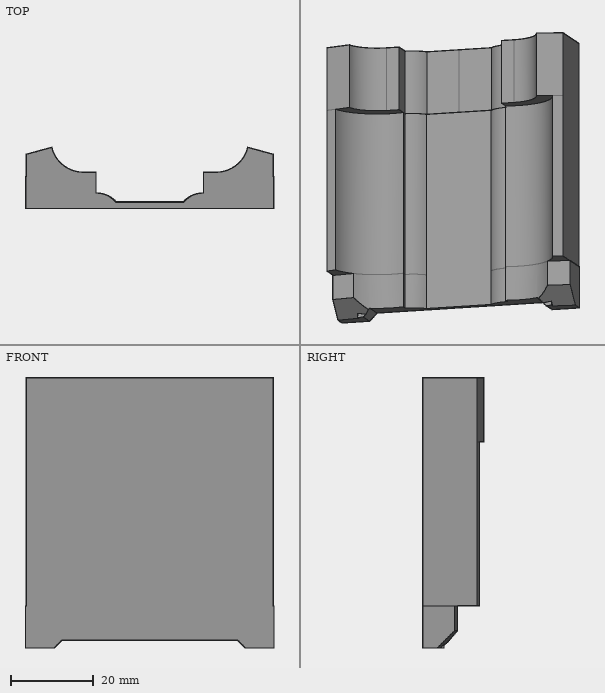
import cadquery as cq
import math

height = 65.3
foot_half_width = 30.005
body_half_width = 29.85
foot_height = 10.2

side_depth = 13.1
tip_x = 23.65
tip_depth = 14.8
step_depth = 8.8
step_x = 12.9
lobe_depth = 3.8
floor_x = 8.15
floor_depth = 1.5
lower_floor_rise = 0.25

bore_x = 16.05
tip_run = tip_x - bore_x
tip_rise = tip_depth - step_depth
bore_radius = (tip_run**2 + tip_rise**2) / (2 * tip_rise)
bore_y = step_depth + bore_radius
relief_radius = 11.7
relief_top = 49.8

foot_side_depth = 7.8
foot_inner_depth = 8.5
foot_inner_x = bore_x + math.sqrt(relief_radius**2 - (bore_y - foot_inner_depth)**2)
foot_chamfer = 4.25
lip_depth = 5.2
lip_height = 1.05
notch_half_width = 23.05
notch_height = 1.9


def lobe_middle(floor):
    """Point halfway along the rounded lobe, whose crest lies at the step wall."""
    run = step_x - floor_x
    rise = lobe_depth - floor
    radius = (run**2 + rise**2) / (2 * rise)
    half_angle = math.asin(run / radius) / 2
    return (step_x - radius * math.sin(half_angle), lobe_depth - radius * (1 - math.cos(half_angle)))


def half_body(floor, bottom, top):
    bore_half_angle = math.atan2(tip_rise, tip_run)
    bore_middle = (bore_x + bore_radius * math.sin(bore_half_angle),
                   bore_y - bore_radius * math.cos(bore_half_angle))
    return (
        cq.Workplane("XY", origin=(0, 0, bottom))
        .moveTo(0, 0)
        .lineTo(body_half_width, 0)
        .lineTo(body_half_width, side_depth)
        .lineTo(tip_x, tip_depth)
        .threePointArc(bore_middle, (bore_x, step_depth))
        .lineTo(step_x, step_depth)
        .lineTo(step_x, lobe_depth)
        .threePointArc(lobe_middle(floor), (floor_x, floor))
        .lineTo(0, floor)
        .close()
        .extrude(top - bottom)
    )


def half_foot():
    floor = floor_depth + lower_floor_rise
    relief_floor = bore_y - math.sqrt(relief_radius**2 - (bore_x - step_x)**2)
    foot = (
        cq.Workplane("XY")
        .moveTo(0, 0)
        .lineTo(foot_half_width, 0)
        .lineTo(foot_half_width, foot_side_depth)
        .lineTo(foot_inner_x, foot_inner_depth)
        .threePointArc((bore_x, bore_y - relief_radius), (step_x, relief_floor))
        .lineTo(step_x, lobe_depth)
        .threePointArc(lobe_middle(floor), (floor_x, floor))
        .lineTo(0, floor)
        .close()
        .extrude(foot_height)
    )
    slope = (foot_inner_depth - foot_side_depth) / (foot_half_width - foot_inner_x)
    back_at_center = foot_side_depth + slope * foot_half_width
    sweep = cq.Vector(foot_half_width, -slope * foot_half_width, 0)
    chamfer_face = cq.Face.makeFromWires(cq.Wire.makePolygon([
        cq.Vector(0, back_at_center - foot_chamfer, 0),
        cq.Vector(0, back_at_center, foot_chamfer),
        cq.Vector(0, back_at_center + foot_chamfer, foot_chamfer),
        cq.Vector(0, back_at_center + foot_chamfer, 0),
    ], close=True))
    chamfer = cq.Workplane(cq.Solid.extrudeLinear(chamfer_face, sweep))
    lip = (
        cq.Workplane("XY")
        .box(foot_inner_x - step_x, lip_depth, lip_height, centered=False)
        .translate((step_x, 0, 0))
    )
    return foot.cut(chamfer).union(lip)


def bore_relief():
    return (
        cq.Workplane("XY")
        .center(bore_x, bore_y)
        .circle(relief_radius)
        .extrude(relief_top)
        .intersect(cq.Workplane("XY").box(height, height, height, centered=False)
                   .translate((step_x, 0, 0)))
    )


def foot_notch():
    return (
        cq.Workplane("XZ")
        .polyline([(-notch_half_width, 0), (notch_half_width, 0),
                   (notch_half_width - notch_height, notch_height),
                   (notch_height - notch_half_width, notch_height)])
        .close()
        .extrude(-tip_depth)
    )


lower_body = half_body(floor_depth + lower_floor_rise, foot_height, relief_top).cut(bore_relief())
upper_body = half_body(floor_depth, relief_top, height)
half = half_foot().union(lower_body).union(upper_body)
result = half.union(half.mirror("YZ")).cut(foot_notch())